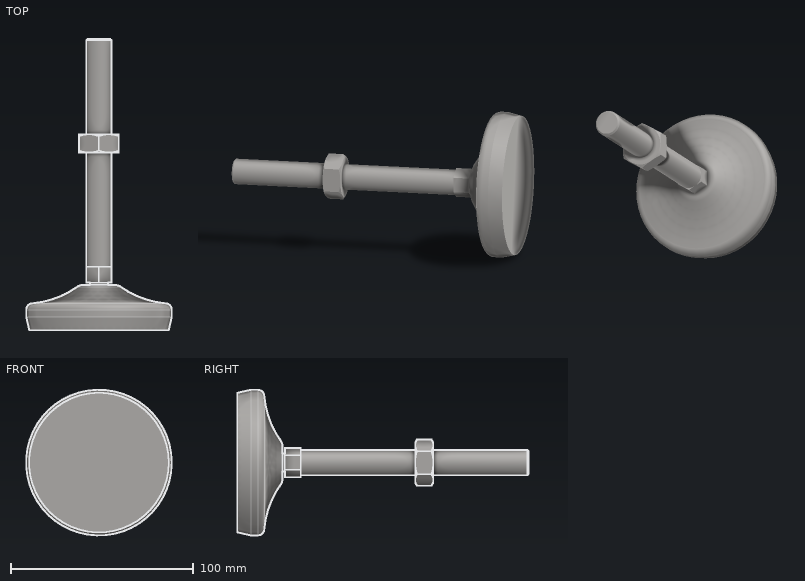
import cadquery as cq
import math

total_length = 160.0

foot_radius = 40.0
sole_radius = 38.3
sole_taper_height = 7.5
shoulder_height = 15.0
shoulder_fillet = 3.75
hub_height = 25.0
hub_edge_height = 24.1
hub_edge_radius = 11.8
flare_radius = 50.0

neck_radius = 5.0
rod_diameter = 14.0
rod_end_chamfer = 0.9
spindle_hex_start = 26.2
spindle_hex_height = 8.7
spindle_hex_flats = rod_diameter

nut_start = 97.6
nut_height = 10.0
nut_flats = 22.0
nut_face_radius = nut_flats / 2
nut_chamfer_angle = 30.0


def corner_radius(flats):
    """Radius of the circle through the corners of a regular hexagon."""
    return flats / 2 / math.cos(math.radians(30))


def revolve_about_y(profile):
    """Turn a closed XY profile once around the Y axis."""
    return profile.close().revolve(360, (0, 0, 0), (0, 1, 0))


def plane_at(y):
    """Plane normal to +Y at height y, with its local x axis along Z."""
    return cq.Plane(origin=(0, y, 0), xDir=(0, 0, 1), normal=(0, 1, 0))


def hexagon(start, height, flats):
    """Hexagonal prism along Y with flats facing +X and -X."""
    return cq.Workplane(plane_at(start)).polygon(6, 2 * corner_radius(flats)).extrude(height)


def cylinder(start, end, radius):
    return cq.Workplane(plane_at(start)).circle(radius).extrude(end - start)


def make_foot():
    shoulder_radius = foot_radius - shoulder_fillet
    flare_run = shoulder_radius - hub_edge_radius
    flare_rise = hub_edge_height - shoulder_height
    flare_chord = math.hypot(flare_run, flare_rise)
    chord_angle = math.atan2(flare_rise, flare_run)
    half_angle = math.asin(flare_chord / 2 / flare_radius)

    hub_slope = chord_angle + half_angle
    hub_top_radius = hub_edge_radius - (hub_height - hub_edge_height) / math.tan(hub_slope / 2)

    fillet_start = shoulder_height - shoulder_fillet
    fillet_reach = shoulder_fillet * math.sqrt(0.5)
    fillet_middle = (shoulder_radius + fillet_reach, fillet_start + fillet_reach)

    profile = (
        cq.Workplane("XY")
        .lineTo(sole_radius, 0)
        .lineTo(foot_radius, sole_taper_height)
        .lineTo(foot_radius, fillet_start)
        .threePointArc(fillet_middle, (shoulder_radius, shoulder_height))
        .radiusArc((hub_edge_radius, hub_edge_height), flare_radius)
        .tangentArcPoint((hub_top_radius, hub_height), relative=False)
        .lineTo(0, hub_height)
    )
    return revolve_about_y(profile)


def make_spindle():
    hex_end = spindle_hex_start + spindle_hex_height
    neck = cylinder(shoulder_height, spindle_hex_start, neck_radius)
    wrench_hex = hexagon(spindle_hex_start, spindle_hex_height, spindle_hex_flats)
    rod = cylinder(hex_end, total_length, rod_diameter / 2).faces(">Y").chamfer(rod_end_chamfer)
    return neck.union(wrench_hex).union(rod)


def make_nut():
    outer = corner_radius(nut_flats)
    drop = (outer - nut_face_radius) * math.tan(math.radians(nut_chamfer_angle))
    nut_end = nut_start + nut_height
    blank = revolve_about_y(
        cq.Workplane("XY")
        .moveTo(0, nut_start)
        .lineTo(nut_face_radius, nut_start)
        .lineTo(outer, nut_start + drop)
        .lineTo(outer, nut_end - drop)
        .lineTo(nut_face_radius, nut_end)
        .lineTo(0, nut_end)
    )
    return hexagon(nut_start, nut_height, nut_flats).intersect(blank)


result = make_foot().union(make_spindle()).union(make_nut())